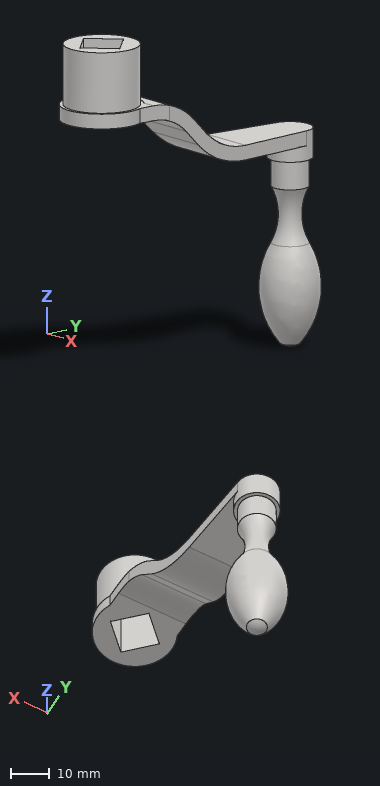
import cadquery as cq
import math

total_height = 90.0
hub_diameter = 20.0
flange_diameter = 22.0
hub_height = 16.0
thickness = 4.0
square_diagonal = 14.5

flange_top = total_height - hub_height
flange_bottom = flange_top - thickness

arm_reach = 63.0
arm_drop = 16.0
bend_radius = 20.0
bend_angle = math.radians(45)
upper_bend_start = 9.0
taper_start = 14.3
arm_top = flange_top - arm_drop
arm_bottom = arm_top - thickness

collar_diameter = 12.0
pin_diameter = 10.0
pin_length = 7.6
neck_length = 15.0
neck_radius = 3.1
bulb_radius = 8.1
bulb_widest_z = 15.5
tip_radius = 2.7
tip_height = 0.8

collar_bottom = arm_bottom - thickness
pin_bottom = collar_bottom - pin_length
bulb_top = pin_bottom - neck_length


def cylinder(diameter, bottom, top):
    """Upright cylinder on the hub axis between two heights."""
    return cq.Workplane("XY", origin=(0, 0, bottom)).circle(diameter / 2).extrude(top - bottom)


def bend_point(center, radius, angle):
    """(Y, Z) point on a bend, with the angle measured from straight up."""
    return (center[0] + radius * math.sin(angle), center[1] + radius * math.cos(angle))


def make_arm():
    """S-bent strip of constant thickness, trimmed to the tapered outline."""
    bend_run = bend_radius * math.sin(bend_angle)
    bend_drop = bend_radius * (1 - math.cos(bend_angle))
    slope_run = (arm_drop - 2 * bend_drop) / math.tan(bend_angle)
    lower_bend_end = upper_bend_start + 2 * bend_run + slope_run
    arm_end = arm_reach + collar_diameter / 2

    upper_center = (upper_bend_start, flange_top - bend_radius)
    lower_center = (lower_bend_end, arm_top + bend_radius)
    inner_radius = bend_radius - thickness
    outer_radius = bend_radius + thickness
    half_angle = bend_angle / 2
    lower_half = math.pi + half_angle
    lower_full = math.pi + bend_angle

    strip = (
        cq.Workplane("YZ")
        .moveTo(0, flange_top)
        .lineTo(upper_bend_start, flange_top)
        .threePointArc(
            bend_point(upper_center, bend_radius, half_angle),
            bend_point(upper_center, bend_radius, bend_angle),
        )
        .lineTo(*bend_point(lower_center, bend_radius, lower_full))
        .threePointArc(bend_point(lower_center, bend_radius, lower_half), (lower_bend_end, arm_top))
        .lineTo(arm_end, arm_top)
        .lineTo(arm_end, arm_bottom)
        .lineTo(lower_bend_end, arm_bottom)
        .threePointArc(
            bend_point(lower_center, outer_radius, lower_half),
            bend_point(lower_center, outer_radius, lower_full),
        )
        .lineTo(*bend_point(upper_center, inner_radius, bend_angle))
        .threePointArc(
            bend_point(upper_center, inner_radius, half_angle),
            (upper_bend_start, flange_bottom),
        )
        .lineTo(0, flange_bottom)
        .close()
        .extrude(hub_diameter / 2, both=True)
    )

    root_half_width = hub_diameter / 2
    end_radius = collar_diameter / 2
    center_distance = math.hypot(root_half_width, arm_reach - taper_start)
    tangent_angle = math.acos(end_radius / center_distance) - math.atan2(
        arm_reach - taper_start, root_half_width
    )
    tangent_x = end_radius * math.cos(tangent_angle)
    tangent_y = arm_reach + end_radius * math.sin(tangent_angle)
    outline = (
        cq.Workplane("XY")
        .moveTo(-root_half_width, 0)
        .lineTo(root_half_width, 0)
        .lineTo(root_half_width, taper_start)
        .lineTo(tangent_x, tangent_y)
        .threePointArc((0, arm_end), (-tangent_x, tangent_y))
        .lineTo(-root_half_width, taper_start)
        .close()
        .extrude(total_height)
    )
    return strip.intersect(outline)


def make_handle():
    """Collar, pin, waisted neck and bulb, turned about the handle axis."""
    collar_radius = collar_diameter / 2
    pin_radius = pin_diameter / 2
    return (
        cq.Workplane("XZ", origin=(0, arm_reach, 0))
        .moveTo(0, arm_bottom)
        .lineTo(collar_radius, arm_bottom)
        .lineTo(collar_radius, collar_bottom)
        .lineTo(pin_radius, collar_bottom)
        .lineTo(pin_radius, pin_bottom)
        .threePointArc((neck_radius, (pin_bottom + bulb_top) / 2), (pin_radius, bulb_top))
        .threePointArc((bulb_radius, bulb_widest_z), (tip_radius, tip_height))
        .radiusArc((0, 0), (tip_radius**2 + tip_height**2) / (2 * tip_height))
        .close()
        .revolve(360, (0, 0, 0), (0, 1, 0))
    )


def make_square_hole():
    """Square through-hole with its corners on the X and Y axes."""
    return (
        cq.Workplane("XY", origin=(0, 0, flange_bottom))
        .polygon(4, square_diagonal)
        .extrude(total_height - flange_bottom)
    )


hub = cylinder(hub_diameter, flange_top, total_height)
flange = cylinder(flange_diameter, flange_bottom, flange_top)
result = hub.union(flange).union(make_arm()).union(make_handle()).cut(make_square_hole())